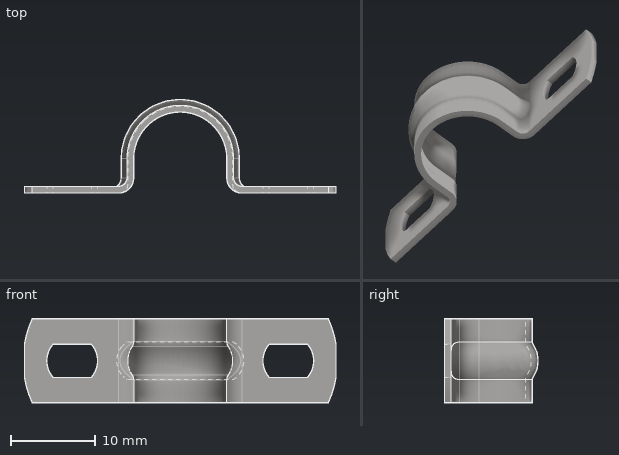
import cadquery as cq
import math

length = 37.0
width = 10.0
thickness = 0.8
bore_radius = 5.5
bend_inner_radius = 1.0
depth = 11.15

bead_height = 0.7
groove_radius = 3.05
groove_lip_radius = 1.05
bead_foot_radius = 1.22
bead_foot_angle = 56

hole_spacing = 25.65
hole_diameter = 6.0
hole_height = 3.92
tip_radius = 12.0
tip_setback = 0.92

outer_radius = bore_radius + thickness
bend_outer_radius = bend_inner_radius + thickness
bend_x = bore_radius + bend_outer_radius
arch_y = depth - bead_height - outer_radius
bead_radius = groove_radius + thickness
half_length = length / 2
half_width = width / 2


def make_strap():
    """Clamp arch, straight legs, bends and flanges as one bent sheet, centred on Z = 0."""
    corner = math.sqrt(0.5)
    inner_offset = bend_inner_radius * corner
    outer_offset = bend_outer_radius * corner
    return (
        cq.Workplane("XY")
        .workplane(offset=-half_width)
        .moveTo(-half_length, 0)
        .lineTo(-bend_x, 0)
        .threePointArc(
            (-bend_x + outer_offset, bend_outer_radius - outer_offset),
            (-bore_radius, bend_outer_radius),
        )
        .lineTo(-bore_radius, arch_y)
        .threePointArc((0, arch_y + bore_radius), (bore_radius, arch_y))
        .lineTo(bore_radius, bend_outer_radius)
        .threePointArc(
            (bend_x - outer_offset, bend_outer_radius - outer_offset),
            (bend_x, 0),
        )
        .lineTo(half_length, 0)
        .lineTo(half_length, thickness)
        .lineTo(bend_x, thickness)
        .threePointArc(
            (bend_x - inner_offset, bend_outer_radius - inner_offset),
            (outer_radius, bend_outer_radius),
        )
        .lineTo(outer_radius, arch_y)
        .threePointArc((0, arch_y + outer_radius), (-outer_radius, arch_y))
        .lineTo(-outer_radius, bend_outer_radius)
        .threePointArc(
            (-bend_x + inner_offset, bend_outer_radius - inner_offset),
            (-bend_x, thickness),
        )
        .lineTo(-half_length, thickness)
        .close()
        .extrude(width)
    )


def bead_section(section_radius, base_radius, start_y):
    """Circular segment on the +X leg at start_y, rising bead_height from base_radius."""
    half_chord = math.sqrt(section_radius**2 - (section_radius - bead_height) ** 2)
    return (
        cq.Workplane("XZ", origin=(0, start_y, 0))
        .moveTo(base_radius, -half_chord)
        .threePointArc((base_radius + bead_height, 0), (base_radius, half_chord))
        .close()
    )


def make_bead_run(section_radius, base_radius, foot_y):
    """Bead section carried round the arch and straight down both legs to foot_y."""
    arch = bead_section(section_radius, base_radius, arch_y).revolve(180, (0, 0, 0), (0, 1, 0))
    leg = bead_section(section_radius, base_radius, arch_y).extrude(arch_y - foot_y)
    return arch.union(leg).union(leg.mirror("YZ"))


def make_bead_foot():
    """End of the bead on the +X leg, curling outward until it sinks into the flange."""
    axis_x = outer_radius + bead_height + bead_foot_radius
    section = bead_section(bead_radius, outer_radius, bend_outer_radius)
    return section.revolve(bead_foot_angle, (axis_x, 0, 0), (axis_x, 1, 0))


def add_bead(strap):
    """Groove the inside of the clamp, round the groove's rim and raise the bead outside it."""
    groove = make_bead_run(groove_radius, bore_radius, 0)
    sheet_middle = bore_radius + thickness / 2
    rim = cq.selectors.BoxSelector(
        (-sheet_middle, 0, -groove_radius),
        (sheet_middle, arch_y + bore_radius, groove_radius),
    )
    grooved = strap.cut(groove).edges(rim).fillet(groove_lip_radius)
    bead = make_bead_run(bead_radius, outer_radius, bend_outer_radius)
    foot = make_bead_foot()
    return grooved.union(bead).union(foot).union(foot.mirror("YZ"))


def make_tip_corners(side):
    """Waste outside the arc that rounds one flange, leaving the middle of its end flat."""
    center_x = half_length - tip_setback - math.sqrt(tip_radius**2 - half_width**2)
    flange_length = half_length - bend_x
    flange_center = side * (half_length + bend_x) / 2
    flange = cq.Workplane("XZ", origin=(0, thickness, 0)).center(flange_center, 0)
    disc = cq.Workplane("XZ", origin=(side * center_x, thickness, 0)).circle(tip_radius)
    return flange.rect(flange_length, width).extrude(thickness).cut(disc.extrude(thickness))


def make_mounting_hole(side):
    """Round hole with flat top and bottom."""
    hole_plane = cq.Workplane("XZ", origin=(side * hole_spacing / 2, thickness, 0))
    flats = hole_plane.rect(hole_diameter, hole_height).extrude(thickness)
    return hole_plane.circle(hole_diameter / 2).extrude(thickness).intersect(flats)


result = add_bead(make_strap())
for side in (-1, 1):
    result = result.cut(make_tip_corners(side))
    result = result.cut(make_mounting_hole(side))